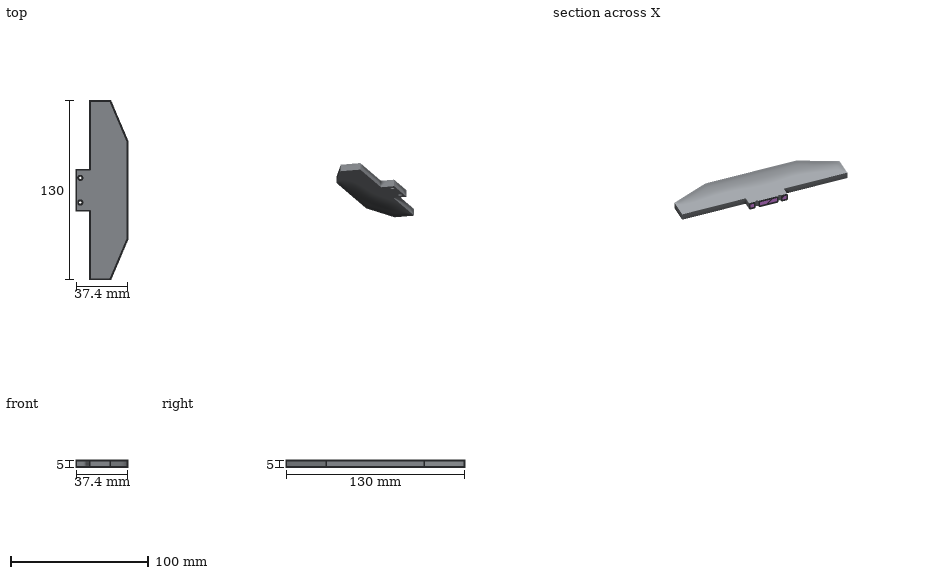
import cadquery as cq

length = 130.0
thickness = 5.0
blade_width = 27.4
tip_width = 15.0
straight_edge_length = 71.2

tab_depth = 10.0
tab_length = 30.0
hole_diameter = 3.0
hole_spacing = 18.0
hole_edge_distance = 3.0


def make_blade():
    """Plate with its -X side on the YZ plane, symmetric about Y = 0."""
    half_length = length / 2
    half_edge = straight_edge_length / 2
    outline = [
        (0, -half_length),
        (tip_width, -half_length),
        (blade_width, -half_edge),
        (blade_width, half_edge),
        (tip_width, half_length),
        (0, half_length),
    ]
    return cq.Workplane("XY").polyline(outline).close().extrude(thickness)


def make_tab():
    """Rectangular tab reaching from the blade toward -X."""
    return cq.Workplane("XY").box(
        tab_depth, tab_length, thickness, centered=(False, True, False)
    ).translate((-tab_depth, 0, 0))


def make_holes():
    """Pair of cutters for the through holes in the tab."""
    hole_x = hole_edge_distance - tab_depth
    hole_centres = [(hole_x, side * hole_spacing / 2) for side in (-1, 1)]
    return cq.Workplane("XY").pushPoints(hole_centres).circle(hole_diameter / 2).extrude(thickness)


result = make_blade().union(make_tab()).cut(make_holes())